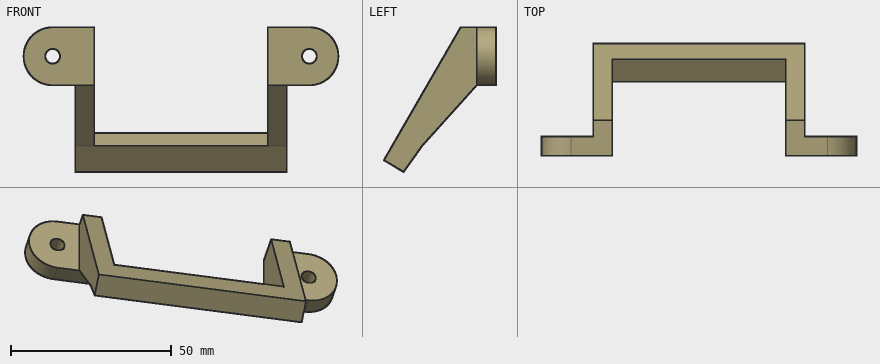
import cadquery as cq
import math

overall_length = 97.9
overall_depth = 35.0
overall_height = 45.0

lug_height = 18.1
lug_thickness = 6.1
hole_diameter = 4.5
lug_radius = lug_height / 2
hole_x = overall_length / 2 - lug_radius

arm_outer_x = 32.9
arm_width = 6.0
arm_inner_x = arm_outer_x - arm_width
arm_top_depth = 11.1
slope_angle = math.radians(60)

grip_length = 9.8
grip_inner_y = 23.0
grip_inner_z = -36.9
grip_bottom_y = 28.8

outer_end = (overall_depth, -(overall_depth - arm_top_depth) * math.tan(slope_angle))
bottom_corner = (grip_bottom_y, -overall_height)
inner_corner = (grip_inner_y, grip_inner_z)
grip_upper_corner = (
    outer_end[0] - grip_length * math.cos(slope_angle),
    outer_end[1] + grip_length * math.sin(slope_angle),
)


def extrude_along_x(profile, x_start, x_end):
    """Extrude a closed (y, z) profile between two x positions."""
    sketch = cq.Workplane("YZ").workplane(offset=x_start).polyline(profile).close()
    return sketch.extrude(x_end - x_start)


def make_lug():
    """Right-hand lug: square inner end, round outer end, through hole."""
    plate = (
        cq.Workplane("XZ")
        .moveTo(arm_inner_x, 0)
        .lineTo(hole_x, 0)
        .threePointArc((hole_x + lug_radius, -lug_radius), (hole_x, -lug_height))
        .lineTo(arm_inner_x, -lug_height)
        .close()
        .extrude(-lug_thickness)
    )
    hole = (
        cq.Workplane("XZ")
        .center(hole_x, -lug_radius)
        .circle(hole_diameter / 2)
        .extrude(-lug_thickness)
    )
    return plate.cut(hole)


def make_arm():
    """Right-hand arm, tapering from the lug down to the grip bar."""
    profile = [
        (lug_thickness, 0),
        (arm_top_depth, 0),
        outer_end,
        bottom_corner,
        inner_corner,
        (lug_thickness, -lug_height),
    ]
    return extrude_along_x(profile, arm_inner_x, arm_outer_x)


def make_grip():
    """Bar spanning both arms."""
    profile = [grip_upper_corner, outer_end, bottom_corner, inner_corner]
    return extrude_along_x(profile, -arm_outer_x, arm_outer_x)


side = make_lug().union(make_arm())
result = make_grip().union(side).union(side.mirror("YZ")).clean()